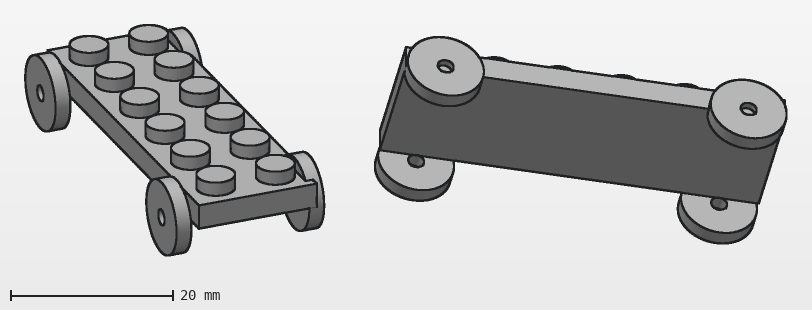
import cadquery as cq

stud_columns = 6
stud_rows = 2
stud_pitch = 8.0
side_clearance = 0.1
plate_length = stud_columns * stud_pitch - 2 * side_clearance
plate_width = stud_rows * stud_pitch - 2 * side_clearance
plate_height = 3.2

stud_diameter = 4.8
stud_height = 1.8

wheel_diameter = 9.6
wheel_thickness = 2.0
axle_hole_diameter = 2.0
front_gap = 1.0
rear_overlap = wheel_thickness / 2
axle_x = (plate_length - wheel_diameter) / 2
front_wheel_outer_y = -plate_width / 2 - front_gap - wheel_thickness
rear_wheel_inner_y = plate_width / 2 - rear_overlap


def make_wheel(x, y_start):
    """Wheel on a Y axis at height zero, reaching from y_start toward +Y."""
    return (
        cq.Workplane("XZ", origin=(x, y_start, 0))
        .circle(wheel_diameter / 2)
        .circle(axle_hole_diameter / 2)
        .extrude(-wheel_thickness)
    )


def make_studded_plate():
    """Plate standing on Z = 0 with a grid of round studs on top."""
    plate = cq.Workplane("XY").box(
        plate_length, plate_width, plate_height, centered=(True, True, False)
    )
    studs = (
        cq.Workplane("XY", origin=(0, 0, plate_height))
        .rarray(stud_pitch, stud_pitch, stud_columns, stud_rows)
        .circle(stud_diameter / 2)
        .extrude(stud_height)
    )
    return plate.union(studs)


def make_chassis():
    """Studded plate joined with the two rear wheels that sink into its edge."""
    chassis = make_studded_plate()
    for side in (-1, 1):
        chassis = chassis.union(make_wheel(side * axle_x, rear_wheel_inner_y))
    return chassis


chassis = make_chassis()
front_wheels = [make_wheel(side * axle_x, front_wheel_outer_y) for side in (-1, 1)]

result = cq.Compound.makeCompound(
    [chassis.solids().val(), *[wheel.val() for wheel in front_wheels]]
)